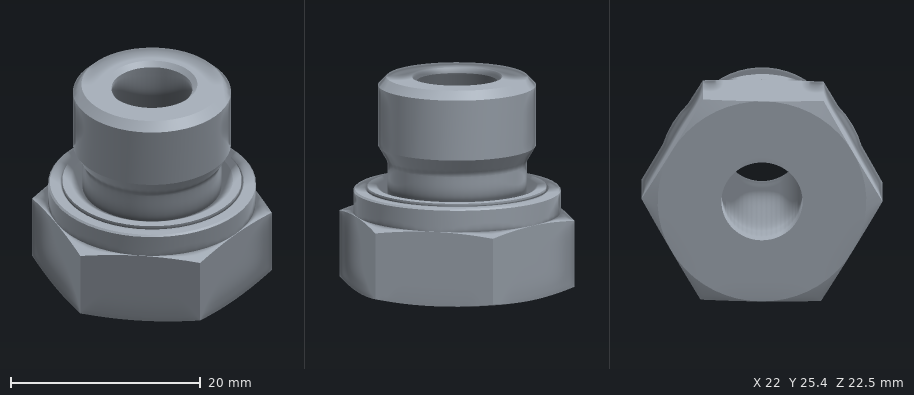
import cadquery as cq
import math

hex_across_corners = 25.4
hex_flat_radius = hex_across_corners / 2 * math.cos(math.radians(30))
hex_height = 8.0
hex_chamfer_angle = 15.0

flange_radius = 21.9 / 2
flange_top = 10.5
flange_chamfer = 0.18

groove_radius = 19.0 / 2
groove_depth = 1.52
groove_chamfer = 0.18
groove_floor = flange_top - groove_depth
seal_radius = 18.9 / 2
seal_top = 10.75
seal_lip_radius = 8.53
seal_slope_angle = 30.0

neck_radius = 14.7 / 2
neck_fillet = 1.0
thread_radius = 16.65 / 2
thread_bottom = 15.16
thread_chamfer = 0.9
runout_angle = 30.0
total_height = 22.5

bore_radius = 8.55 / 2
bore_chamfer = 0.5


def revolve_profile(profile):
    """Turn a closed (radius, height) outline around the Z axis."""
    return profile.close().revolve(360, (0, 0, 0), (0, 1, 0))


def make_hexagon():
    """Hexagon with both ends chamfered by a cone that touches the flats."""
    prism = (
        cq.Workplane("XY")
        .polygon(6, hex_across_corners)
        .extrude(hex_height)
        .rotate((0, 0, 0), (0, 0, 1), 30)
    )
    corner_radius = hex_across_corners / 2
    corner_drop = (corner_radius - hex_flat_radius) * math.tan(math.radians(hex_chamfer_angle))
    envelope = revolve_profile(
        cq.Workplane("XZ")
        .moveTo(0, 0)
        .lineTo(hex_flat_radius, 0)
        .lineTo(corner_radius, corner_drop)
        .lineTo(corner_radius, hex_height - corner_drop)
        .lineTo(hex_flat_radius, hex_height)
        .lineTo(0, hex_height)
    )
    return prism.intersect(envelope)


def make_turned_end():
    """Grooved flange, neck, runout cone and threaded end."""
    runout = math.radians(runout_angle)
    cone_foot = thread_bottom - (thread_radius - neck_radius) / math.tan(runout)
    tangent_length = neck_fillet * math.tan(runout / 2)
    fillet_center_radius = neck_radius + neck_fillet
    fillet_start = cone_foot - tangent_length

    def fillet_point(angle):
        return (
            fillet_center_radius - neck_fillet * math.cos(angle),
            fillet_start + neck_fillet * math.sin(angle),
        )

    return revolve_profile(
        cq.Workplane("XZ")
        .moveTo(0, hex_height)
        .lineTo(flange_radius, hex_height)
        .lineTo(flange_radius, flange_top - flange_chamfer)
        .lineTo(flange_radius - flange_chamfer, flange_top)
        .lineTo(groove_radius + groove_chamfer, flange_top)
        .lineTo(groove_radius, flange_top - groove_chamfer)
        .lineTo(groove_radius, groove_floor)
        .lineTo(neck_radius, groove_floor)
        .lineTo(neck_radius, fillet_start)
        .threePointArc(fillet_point(runout / 2), fillet_point(runout))
        .lineTo(thread_radius, thread_bottom)
        .lineTo(thread_radius, total_height - thread_chamfer)
        .lineTo(thread_radius - thread_chamfer, total_height)
        .lineTo(0, total_height)
    )


def make_bore():
    """Through bore, widened by a chamfer at the threaded end."""
    return revolve_profile(
        cq.Workplane("XZ")
        .moveTo(0, 0)
        .lineTo(bore_radius, 0)
        .lineTo(bore_radius, total_height - bore_chamfer)
        .lineTo(bore_radius + bore_chamfer, total_height)
        .lineTo(0, total_height)
    )


def make_fitting():
    return make_hexagon().union(make_turned_end()).cut(make_bore())


def make_seal():
    """Ring standing on the groove floor, its top sloping down to the neck."""
    slope_drop = (seal_lip_radius - neck_radius) * math.tan(math.radians(seal_slope_angle))
    return revolve_profile(
        cq.Workplane("XZ")
        .moveTo(neck_radius, groove_floor)
        .lineTo(seal_radius, groove_floor)
        .lineTo(seal_radius, seal_top)
        .lineTo(seal_lip_radius, seal_top)
        .lineTo(neck_radius, seal_top - slope_drop)
    )


fitting = make_fitting()
seal = make_seal()

result = cq.Compound.makeCompound([fitting.val(), seal.val()])